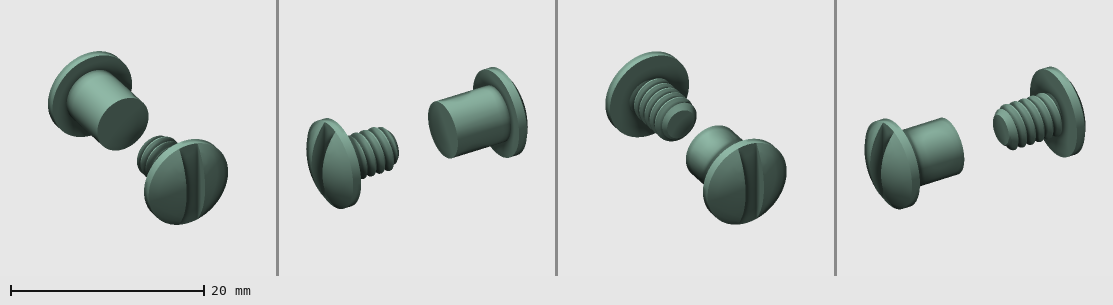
import cadquery as cq
import math

total_length = 23.98
head_radius = 4.76
rim_thickness = 0.95
dome_height = 1.55
slot_width = 2.2
stem_length = 6.35

barrel_radius = 3.07

major_radius = 2.42
minor_radius = 1.73
tip_radius = 1.63
pitch = 1.05
crest_width = pitch / 8
root_width = 0.07
bottom_crest_offset = 0.86
ridge_overlap = 0.035
envelope_clearance = 0.25


def make_head():
    """Slotted domed head with its slot edges at X = 0 and the dome toward -X."""
    half_slot = slot_width / 2
    centre_x = (dome_height**2 + head_radius**2 - half_slot**2) / (2 * dome_height)
    dome_radius = math.hypot(centre_x, half_slot)
    apex_x = centre_x - dome_radius
    mid_angle = math.asin(head_radius / dome_radius) / 2
    mid_point = (centre_x - dome_radius * math.cos(mid_angle), dome_radius * math.sin(mid_angle))
    underside_x = dome_height + rim_thickness

    head = (
        cq.Workplane("XY")
        .moveTo(apex_x, 0)
        .threePointArc(mid_point, (dome_height, head_radius))
        .lineTo(underside_x, head_radius)
        .lineTo(underside_x, 0)
        .close()
        .revolve(360, (0, 0), (1, 0))
    )
    slot = cq.Workplane("XY").box(2 * dome_height, slot_width, 2 * head_radius)
    return head.cut(slot)


def make_post():
    """Slotted head with a plain barrel."""
    underside_x = dome_height + rim_thickness
    barrel = cq.Workplane("YZ").workplane(offset=underside_x).circle(barrel_radius).extrude(stem_length)
    return make_head().union(barrel)


def make_thread_ridge():
    """Helical ridge about Z that runs past both ends of a shank standing on Z = 0."""
    start_z = bottom_crest_offset - 2 * pitch
    helix = cq.Wire.makeHelix(pitch, stem_length + pitch - start_z, minor_radius)
    half_crest = crest_width / 2
    half_root_base = (pitch - root_width) / 2
    flank_slope = (half_root_base - half_crest) / (major_radius - minor_radius)
    half_base = half_root_base + flank_slope * ridge_overlap
    base_radius = minor_radius - ridge_overlap
    profile = cq.Workplane("XZ").polyline([
        (base_radius, -half_base),
        (major_radius, -half_crest),
        (major_radius, half_crest),
        (base_radius, half_base),
    ]).close()
    ridge = profile.sweep(cq.Workplane("XY").add(helix), isFrenet=True)
    return ridge.translate((0, 0, start_z))


def make_threaded_shank():
    """Threaded shank along +X with its chamfered tip at X = 0."""
    envelope_radius = major_radius + envelope_clearance
    envelope = (
        cq.Workplane("XY")
        .circle(envelope_radius)
        .extrude(stem_length)
        .faces("<Z")
        .chamfer(envelope_radius - tip_radius)
    )
    core = (
        cq.Workplane("XY")
        .workplane(offset=-pitch)
        .circle(minor_radius)
        .extrude(stem_length + 2 * pitch)
    )
    shank = core.union(make_thread_ridge()).intersect(envelope)
    return shank.rotate((0, 0, 0), (0, 1, 0), 90)


def make_screw():
    """Threaded screw with its dome facing +X, opposite the post."""
    tip_x = total_length - dome_height - rim_thickness - stem_length
    head = make_head().mirror("YZ").translate((total_length, 0, 0))
    shank = make_threaded_shank().translate((tip_x, 0, 0))
    return head.union(shank)


post = make_post()
screw = make_screw()

result = cq.Compound.makeCompound([post.solids().val(), screw.solids().val()])